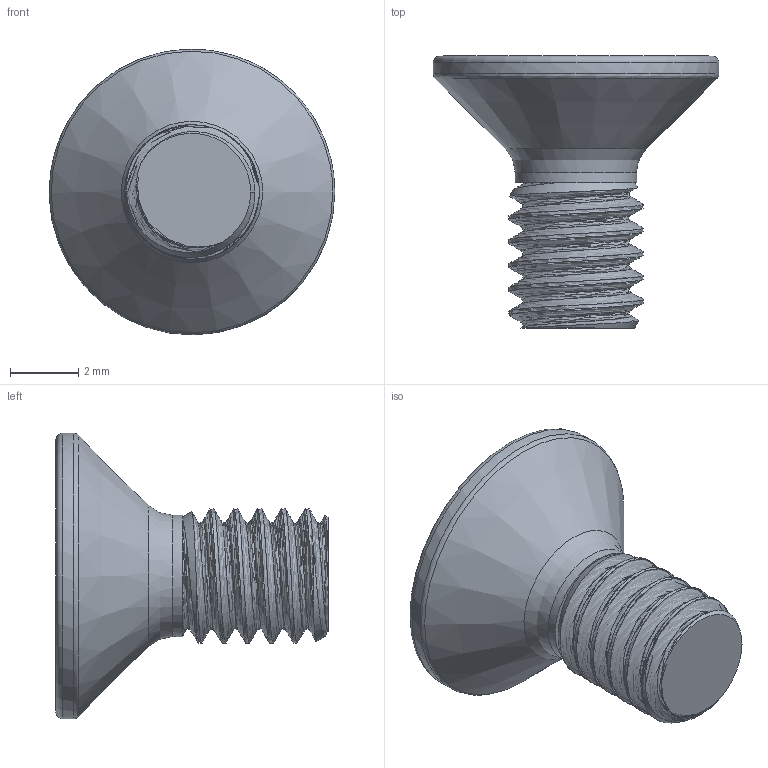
import cadquery as cq
import math


length = 8.0
head_radius = 4.2
shank_radius = 1.785

cone_start = 0.61
head_edge_radius = 0.2
neck_fillet_radius = 1.0
cone_end = cone_start + head_radius - shank_radius

pitch = 0.7
nominal_radius = 2.0
crest_radius = 1.98
thread_start = 3.73
crest_depth_at_x = 4.41
thread_length = length - thread_start
flank_slope = math.tan(math.radians(30))
sharp_height = pitch / 2 / flank_slope
sharp_root_radius = nominal_radius - sharp_height * 7 / 8
root_rounding = sharp_height / 6

crest_half_width = (crest_radius - sharp_root_radius) * flank_slope
root_half_width = root_rounding * math.cos(math.radians(30))
curve_points = 8

taper_slope = math.tan(math.radians(30))
tip_radius = 1.725
runout_radius = 1.74
cutter_margin = 0.1


def revolve_profile(points):
    """Solid of revolution about Z from (radius, z) points."""
    return cq.Workplane("XZ").polyline(points).close().revolve(360, (0, 0), (0, 1))


def edge_at(depth, radius):
    """Selector for the circular edge at a given depth and radius."""
    margin = 0.01
    return cq.selectors.BoxSelector(
        (-radius - margin, -radius - margin, -depth - margin),
        (radius + margin, radius + margin, -depth + margin),
        boundingbox=True,
    )


def make_head():
    """Rim, 45 degree cone and plain shank, with rounded rim and neck."""
    head = revolve_profile([
        (0, 0),
        (head_radius, 0),
        (head_radius, -cone_start),
        (shank_radius, -cone_end),
        (shank_radius, -thread_start),
        (0, -thread_start),
    ])
    head = head.edges(edge_at(cone_end, shank_radius)).fillet(neck_fillet_radius)
    for depth in (0, cone_start):
        head = head.edges(edge_at(depth, head_radius)).fillet(head_edge_radius)
    return head


def flank_radius(offset):
    """Radius of a flank at an axial offset from the middle of the groove."""
    return sharp_root_radius + abs(offset) / flank_slope


def root_arc_radius(offset):
    """Radius of the rounded root at an axial offset from the middle of the groove."""
    arc_center = sharp_root_radius + 2 * root_rounding
    return arc_center - math.sqrt(root_rounding**2 - offset**2)


def section_point(radius_at, offset):
    """Point of the cross-section: one pitch along the axis is one turn around it."""
    angle = -2 * math.pi * offset / pitch
    radius = radius_at(offset)
    return (radius * math.cos(angle), radius * math.sin(angle))


def section_curve(radius_at, first, last):
    """Curve of the cross-section between two axial offsets, for a parameter from 0 to 1."""
    return lambda t: section_point(radius_at, first + (last - first) * t)


def make_thread_section():
    """Cross-section of the thread, with the middle of the groove on +X."""
    section = cq.Workplane("XY")
    for radius_at, first, last in (
        (flank_radius, -crest_half_width, -root_half_width),
        (root_arc_radius, -root_half_width, root_half_width),
        (flank_radius, root_half_width, crest_half_width),
    ):
        curve = section_curve(radius_at, first, last)
        section = section.parametricCurve(curve, N=curve_points, makeWire=False)
    crest_start = section_point(flank_radius, crest_half_width)
    crest_end = section_point(flank_radius, -crest_half_width)
    section = section.moveTo(*crest_start).threePointArc((-crest_radius, 0), crest_end)
    return section.consolidateWires()


def make_taper_cutter(end_z, end_radius, inward):
    """Ring that tapers the thread down to end_radius at end_z; inward is the Z sign into the thread."""
    taper_length = (crest_radius - end_radius) / taper_slope
    outer_radius = crest_radius + cutter_margin * taper_slope
    outer_z = end_z - inward * cutter_margin
    return revolve_profile([
        (end_radius - cutter_margin * taper_slope, outer_z),
        (outer_radius, end_z + inward * (taper_length + cutter_margin)),
        (outer_radius, outer_z),
    ])


def make_thread():
    """Twisted cross-section, tapered at the tip and towards the shank."""
    groove_depth_at_x = crest_depth_at_x + pitch / 2
    tip_angle = 360 * (groove_depth_at_x - length) / pitch
    thread = make_thread_section().twistExtrude(thread_length, 360 * thread_length / pitch)
    thread = thread.rotate((0, 0, 0), (0, 0, 1), tip_angle).translate((0, 0, -length))
    thread = thread.cut(make_taper_cutter(-length, tip_radius, 1))
    return thread.cut(make_taper_cutter(-thread_start, runout_radius, -1))


screw = make_head().union(make_thread())
result = screw.rotate((0, 0, 0), (1, 0, 0), -90)